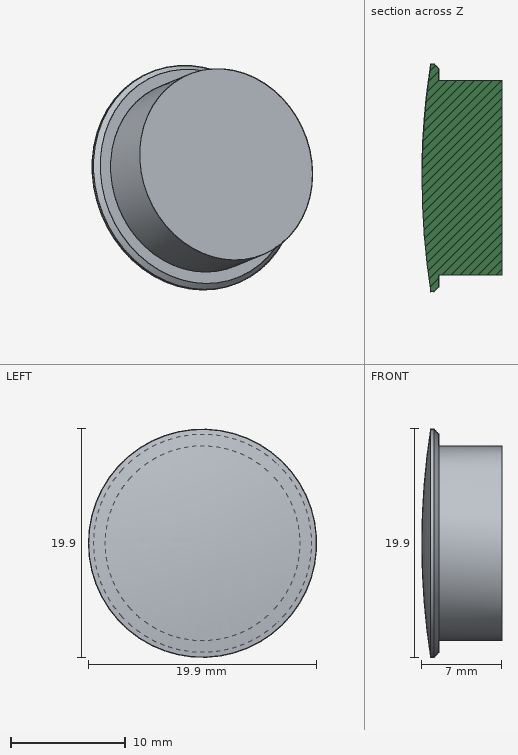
import cadquery as cq
import math

flange_radius = 9.95
body_radius = 8.5
total_length = 7.0
dome_height = 0.78
rim_width = 0.28
chamfer_size = 0.44

sphere_radius = (flange_radius**2 + dome_height**2) / (2 * dome_height)
dome_mid_radius = flange_radius / 2
dome_mid_x = sphere_radius - math.sqrt(sphere_radius**2 - dome_mid_radius**2)

rim_end = dome_height + rim_width
flange_back = rim_end + chamfer_size

profile = (
    cq.Workplane("XY")
    .moveTo(0, 0)
    .threePointArc((dome_mid_x, dome_mid_radius), (dome_height, flange_radius))
    .lineTo(rim_end, flange_radius)
    .lineTo(flange_back, flange_radius - chamfer_size)
    .lineTo(flange_back, body_radius)
    .lineTo(total_length, body_radius)
    .lineTo(total_length, 0)
    .close()
)

result = profile.revolve(360, (0, 0, 0), (1, 0, 0))